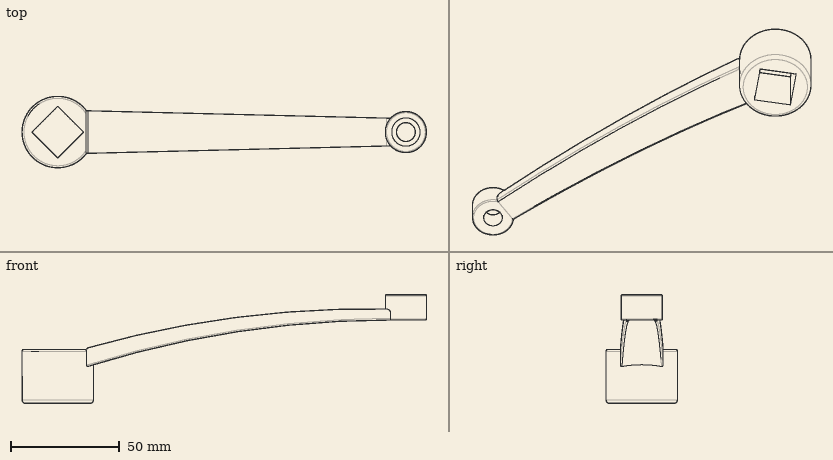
import cadquery as cq
import math

hub_diameter = 33.0
hub_height = 25.0
hub_bottom_fillet = 1.7
hub_top_fillet = 1.0
square_side = 16.7

overall_length = 186.0
overall_height = 50.0
boss_diameter = 19.0
boss_height = 11.7
boss_edge_fillet = 0.5
bolt_hole_diameter = 8.5
countersink_diameter = 13.0
countersink_depth = 1.9
boss_x = overall_length - hub_diameter / 2 - boss_diameter / 2
boss_bottom = overall_height - boss_height

arm_root_x = 13.0
arm_tip_x = 153.0
arm_top_root_z = 25.7
arm_top_crest = (143.2, 43.5)
arm_bottom_root_z = 16.7
arm_bottom_level_x = 153.0
arm_root_width = 19.7
arm_tip_width = 12.8
arm_root_top_bevel = 1.0
arm_lower_edge_radius = 0.7
arm_tip_top_radius = 2.0


def arch_radius(start, crest):
    """Return the radius of the arc that passes through start and is level at crest."""
    run = crest[0] - start[0]
    rise = crest[1] - start[1]
    return (run**2 + rise**2) / (2 * rise)


def arch_point(x, start, crest):
    """Return the point at x on the arc through start that is level at crest."""
    radius = arch_radius(start, crest)
    drop = radius - math.sqrt(radius**2 - (crest[0] - x) ** 2)
    return (x, crest[1] - drop)


def cylinder(x, bottom, diameter, height):
    return cq.Workplane("XY", origin=(x, 0, bottom)).circle(diameter / 2).extrude(height)


def make_hub():
    hub = cylinder(0, 0, hub_diameter, hub_height)
    hub = hub.faces("<Z").edges().fillet(hub_bottom_fillet)
    return hub.faces(">Z").edges().fillet(hub_top_fillet)


def make_boss():
    boss = cylinder(boss_x, boss_bottom, boss_diameter, boss_height)
    return boss.faces("<Z or >Z").edges().fillet(boss_edge_fillet)


def make_arm():
    """Trim the arched side profile to the tapering plan outline."""
    middle_x = (arm_root_x + arm_tip_x) / 2
    top_start = (arm_root_x + arm_root_top_bevel, arm_top_root_z)
    top_middle = arch_point(middle_x, top_start, arm_top_crest)
    top_end = arch_point(arm_tip_x, top_start, arm_top_crest)
    bottom_start = (arm_root_x, arm_bottom_root_z)
    bottom_level = (arm_bottom_level_x, boss_bottom)
    bottom_middle = arch_point(middle_x, bottom_start, bottom_level)
    bottom_end = arch_point(arm_tip_x, bottom_start, bottom_level)
    profile = (
        cq.Workplane("XZ")
        .moveTo(*bottom_start)
        .threePointArc(bottom_middle, bottom_end)
        .lineTo(*top_end)
        .threePointArc(top_middle, top_start)
        .lineTo(arm_root_x, hub_height)
        .close()
        .extrude(arm_root_width / 2, both=True)
    )
    profile = profile.faces(">X").edges(">Z").fillet(arm_tip_top_radius)

    root_y = arm_root_width / 2
    tip_y = arm_tip_width / 2
    plan = (
        cq.Workplane("XY")
        .moveTo(arm_root_x, -root_y)
        .lineTo(arm_tip_x, -tip_y)
        .lineTo(arm_tip_x, tip_y)
        .lineTo(arm_root_x, root_y)
        .close()
        .extrude(overall_height)
    )
    arm = profile.intersect(plan)
    underside = arm.faces(cq.NearestToPointSelector((bottom_middle[0], 0, bottom_middle[1])))
    return underside.edges("not >X").fillet(arm_lower_edge_radius)


def make_square_hole():
    square = cq.Workplane("XY").rect(square_side, square_side).extrude(hub_height)
    return square.rotate((0, 0, 0), (0, 0, 1), 45)


def make_bolt_hole():
    hole = cylinder(boss_x, boss_bottom, bolt_hole_diameter, boss_height)
    countersink = (
        cq.Workplane("XY", origin=(boss_x, 0, overall_height))
        .circle(countersink_diameter / 2)
        .workplane(offset=-countersink_depth)
        .circle(bolt_hole_diameter / 2)
        .loft()
    )
    return hole.union(countersink)


crank = make_hub().union(make_boss()).union(make_arm())
result = crank.cut(make_square_hole()).cut(make_bolt_hole())